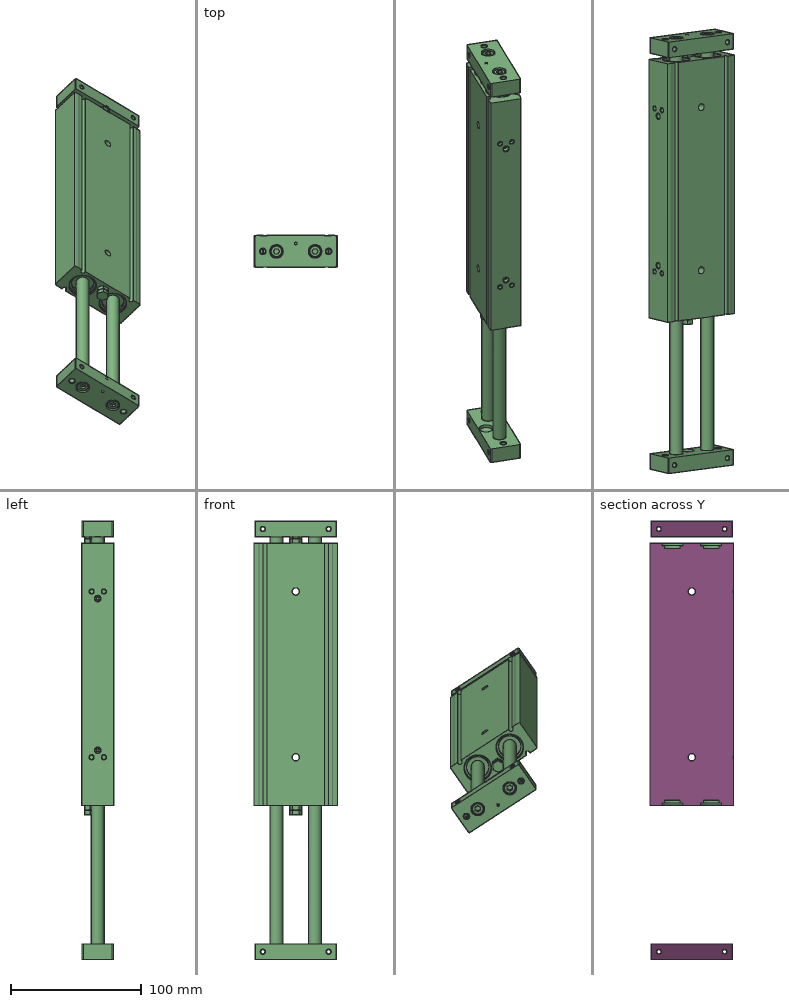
import cadquery as cq
import math

total_length = 335.8

plate_width = 62.0
plate_depth = 24.2
plate_height = 12.0
plate_chamfer_width = 0.5
plate_chamfer_depth = 1.0

housing_width = 64.0
housing_depth = 25.0
housing_side_depth = 24.0
housing_flat_width = 56.5
housing_bottom = 118.0
housing_top = 319.0
groove_width = 3.25
groove_wall = 1.0
groove_x = 23.5
recess_mouth = 21.0
recess_diameter = 20.0
recess_depth = 2.0
recess_step_diameter = 17.0
recess_step_depth = 4.0

rod_spacing = 29.5
rod_diameter = 10.0
rod_end_diameter = 9.5
rod_end_chamfer = 0.7
rod_end_counterbore_diameter = 10.5
rod_end_counterbore_depth = 5.0
rod_end_drop = 0.7
socket_flats = 4.0
socket_depth = 2.7

small_drill = 3.25
small_mouth = 4.0
large_drill = 4.0
large_mouth = 5.0

plate_hole_spacing = 50.5
mount_hole_diameter = 5.5
mount_spacing = 127.0
side_hole_spacing = 9.5
side_hole_depth = 3.5
port_spacing = 116.2
port_depth = 4.0
port_passage_diameter = 2.0

stop_y = 6.0
stop_flats = 8.0
nut_height = 3.5
stop_height = 7.0
stop_contact_diameter = 7.7
stop_chamfer_angle = 30.0
stop_pocket_diameter = 10.7
mark_hole_diameter = 2.0
mark_hole_depth = 3.5

housing_middle = (housing_bottom + housing_top) / 2
rod_positions = [(-rod_spacing / 2, 0), (rod_spacing / 2, 0)]
top_plate_bottom = total_length - plate_height
housing_ends = [(housing_bottom, (0, 0, 1)), (housing_top, (0, 0, -1))]
stop_pocket_depth = housing_top + stop_height - top_plate_bottom


def cylinder(diameter, start, direction, length):
    """A cylinder that runs from a start point along a direction."""
    axis = cq.Plane(origin=start, normal=direction)
    return cq.Workplane(axis).circle(diameter / 2).extrude(length)


def upright(diameter, x, y, bottom, top):
    """A cylinder along Z between two heights."""
    return cylinder(diameter, (x, y, bottom), (0, 0, 1), top - bottom)


def countersink(drill, mouth, start, direction):
    """The 45-degree cone at the mouth of a hole."""
    depth = (mouth - drill) / 2
    cone = cq.Solid.makeCone(mouth / 2, drill / 2, depth, cq.Vector(*start), cq.Vector(*direction))
    return cq.Workplane(obj=cone)


def countersunk_hole(drill, mouth, start, direction, depth):
    """A drilled hole with a countersunk mouth at its start."""
    return cylinder(drill, start, direction, depth).union(countersink(drill, mouth, start, direction))


def through_hole(drill, mouth, start, direction, depth):
    """A hole that is countersunk at both ends."""
    end = tuple(s + d * depth for s, d in zip(start, direction))
    back = tuple(-d for d in direction)
    return countersunk_hole(drill, mouth, start, direction, depth).union(countersink(drill, mouth, end, back))


def end_for_end(body):
    """The same body mirrored about the middle of the total length."""
    return body.mirror("XY", (0, 0, total_length / 2))


def hexagon(flats, x, y, bottom, height):
    """A hexagonal prism with corners toward -X and +X."""
    corners = flats / math.cos(math.pi / 6)
    return cq.Workplane("XY", origin=(x, y, bottom)).polygon(6, corners).extrude(height)


def make_housing_blank():
    """An extrusion whose front and back faces curve down toward the side faces."""
    half_width = housing_width / 2
    half_depth = housing_depth / 2
    half_flat = housing_flat_width / 2
    half_side = housing_side_depth / 2
    quarter = (
        cq.Workplane("XY", origin=(0, 0, housing_bottom))
        .moveTo(0, 0)
        .lineTo(0, half_depth)
        .lineTo(half_flat, half_depth)
        .tangentArcPoint((half_width, half_side), relative=False)
        .lineTo(half_width, 0)
        .close()
        .extrude(housing_top - housing_bottom)
    )
    half = quarter.union(quarter.mirror("XZ"))
    return half.union(half.mirror("YZ"))


def make_groove(x, face):
    """A lengthwise groove in the front (-1) or back (+1) face."""
    surface = face * housing_depth / 2
    floor_centre = surface - face * groove_wall
    half_width = groove_width / 2
    profile = (
        cq.Workplane("XY", origin=(x, 0, housing_bottom))
        .moveTo(-half_width, surface)
        .lineTo(-half_width, floor_centre)
        .threePointArc((0, floor_centre - face * half_width), (half_width, floor_centre))
        .lineTo(half_width, surface)
        .close()
    )
    return profile.extrude(housing_top - housing_bottom)


def make_rod_bore(x, y):
    """A through bore with a countersunk, stepped recess at each housing end."""
    bore = upright(rod_diameter, x, y, housing_bottom, housing_top)
    for end_z, inward in housing_ends:
        start = (x, y, end_z)
        bore = bore.union(countersunk_hole(recess_diameter, recess_mouth, start, inward, recess_depth))
        bore = bore.union(cylinder(recess_step_diameter, start, inward, recess_step_depth))
    return bore


def make_port(z):
    """A port in the -X side face with a narrow passage to the nearer rod bore."""
    start = (-housing_width / 2, 0, z)
    to_rod = (housing_width - rod_spacing) / 2
    port = countersunk_hole(large_drill, large_mouth, start, (1, 0, 0), port_depth)
    return port.union(cylinder(port_passage_diameter, start, (1, 0, 0), to_rod))


def make_housing():
    body = make_housing_blank()
    for side in (-1, 1):
        for face in (-1, 1):
            body = body.cut(make_groove(side * groove_x, face))
    for x, y in rod_positions:
        body = body.cut(make_rod_bore(x, y))
    for end in (-1, 1):
        mount_z = housing_middle + end * mount_spacing / 2
        mount_start = (0, -housing_depth / 2, mount_z)
        body = body.cut(cylinder(mount_hole_diameter, mount_start, (0, 1, 0), housing_depth))
        for side in (-1, 1):
            start = (-housing_width / 2, side * side_hole_spacing / 2, mount_z)
            body = body.cut(countersunk_hole(small_drill, small_mouth, start, (1, 0, 0), side_hole_depth))
        body = body.cut(make_port(housing_middle + end * port_spacing / 2))
    return body


def make_plate_blank():
    """A rectangular block with its four upright edges bevelled, more along Y than along X."""
    x = plate_width / 2
    y = plate_depth / 2
    inner_x = x - plate_chamfer_width
    inner_y = y - plate_chamfer_depth
    outline = [
        (-inner_x, -y), (inner_x, -y), (x, -inner_y), (x, inner_y),
        (inner_x, y), (-inner_x, y), (-x, inner_y), (-x, -inner_y),
    ]
    blank = cq.Workplane("XY", origin=(0, 0, top_plate_bottom)).polyline(outline).close()
    return blank.extrude(plate_height)


def make_top_plate():
    plate = make_plate_blank()
    counterbore_floor = total_length - rod_end_counterbore_depth
    for x, y in rod_positions:
        plate = plate.cut(upright(rod_end_diameter, x, y, top_plate_bottom, total_length))
        plate = plate.cut(upright(rod_end_counterbore_diameter, x, y, counterbore_floor, total_length))
    for side in (-1, 1):
        x = side * plate_hole_spacing / 2
        upright_start = (x, 0, top_plate_bottom)
        plate = plate.cut(through_hole(large_drill, large_mouth, upright_start, (0, 0, 1), plate_height))
        cross_start = (x, -plate_depth / 2, total_length - plate_height / 2)
        plate = plate.cut(through_hole(small_drill, small_mouth, cross_start, (0, 1, 0), plate_depth))
    plate = plate.cut(upright(mark_hole_diameter, 0, stop_y, total_length - mark_hole_depth, total_length))
    pocket_floor = top_plate_bottom + stop_pocket_depth
    return plate.cut(upright(stop_pocket_diameter, 0, stop_y, top_plate_bottom, pocket_floor))


def make_rod(x, y):
    """A rod shouldered against both plates, with a hexagonal socket in each end."""
    end_top = total_length - rod_end_drop
    rod = upright(rod_diameter, x, y, plate_height, top_plate_bottom)
    end = upright(rod_end_diameter, x, y, top_plate_bottom, end_top)
    end = end.faces(">Z").chamfer(rod_end_chamfer)
    end = end.cut(hexagon(socket_flats, x, y, end_top - socket_depth, socket_depth))
    return rod.union(end).union(end_for_end(end))


def make_top_stop():
    """A nut and a screw head, chamfered where they meet."""
    meeting = housing_top + nut_height
    head_height = stop_height - nut_height
    slope = math.tan(math.radians(stop_chamfer_angle))
    contact_radius = stop_contact_diameter / 2
    flare = (
        cq.Workplane("XZ")
        .moveTo(0, -nut_height)
        .lineTo(contact_radius + nut_height / slope, -nut_height)
        .lineTo(contact_radius, 0)
        .lineTo(contact_radius + head_height / slope, head_height)
        .lineTo(0, head_height)
        .close()
        .revolve(360, (0, 0), (0, 1))
        .translate((0, stop_y, meeting))
    )
    return hexagon(stop_flats, 0, stop_y, housing_top, stop_height).intersect(flare)


housing = make_housing()
top_plate = make_top_plate()
bottom_plate = end_for_end(top_plate)
rods = [make_rod(x, y) for x, y in rod_positions]
top_stop = make_top_stop()
bottom_stop = top_stop.mirror("XY", (0, 0, housing_middle))

result = cq.Compound.makeCompound([
    housing.val(),
    top_plate.val(),
    bottom_plate.val(),
    *[rod.val() for rod in rods],
    top_stop.val(),
    bottom_stop.val(),
])